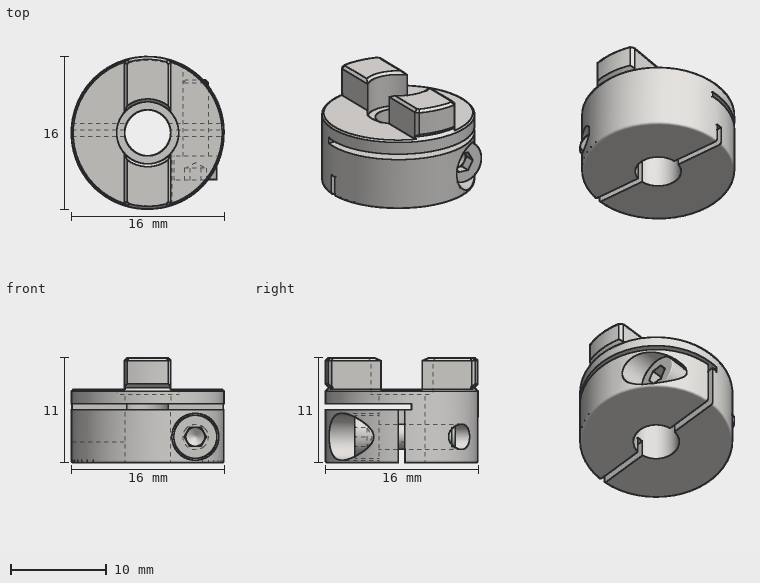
import cadquery as cq
import math

HUB_DIAMETER = 16.0
HUB_RADIUS = HUB_DIAMETER / 2
TOTAL_HEIGHT = 11.0
HUB_HEIGHT = 7.7
BASE_FILLET = 0.25
BORE_DIAMETER = 4.8
RECESS_DIAMETER = 6.5
RECESS_DEPTH = 0.5

LUG_WIDTH = 4.88
LUG_CHAMFER = 0.3

GROOVE_DEPTH = 0.38
GROOVE_HEIGHT = 7.89

JAW_SLOT_BOTTOM = 5.57
JAW_SLOT_HEIGHT = 0.6
JAW_SLOT_END_Y = 1.02
SLIT_WIDTH = 0.69
HINGE_NOTCH_HEIGHT = 2.2

SCREW_X = 5.0
SCREW_Z = 2.74
HEAD_FRONT_Y = -4.91
HEAD_LENGTH = 2.5
SEAT_Y = HEAD_FRONT_Y + HEAD_LENGTH
HEAD_DIAMETER = 4.51
HEAD_FILLET = 0.1
COUNTERBORE_DIAMETER = 4.91
SHANK_DIAMETER = 2.65
SHANK_LENGTH = 8.0
SHANK_CHAMFER = 0.32
SOCKET_ACROSS_FLATS = 2.0
SOCKET_DEPTH = 1.25
SOCKET_TIP_ANGLE = 120.0


def cylinder_z(diameter, bottom, top):
    """Cylinder on the hub axis between two heights."""
    return cq.Workplane("XY").workplane(offset=bottom).circle(diameter / 2).extrude(top - bottom)


def screw_plane(y):
    """Workplane centred on the screw axis at the given Y, facing +Y."""
    return cq.Workplane(cq.Plane(origin=(SCREW_X, y, SCREW_Z), xDir=(1, 0, 0), normal=(0, 1, 0)))


def make_lug(side):
    """Lug on the +Y (side = 1) or -Y (side = -1) half of the hub."""
    foot = HUB_HEIGHT - RECESS_DEPTH
    height = TOTAL_HEIGHT - foot
    block = (
        cq.Workplane("XY", origin=(0, side * HUB_RADIUS / 2, foot))
        .box(LUG_WIDTH, HUB_RADIUS, height, centered=(True, True, False))
    )
    lug = block.intersect(cylinder_z(HUB_DIAMETER, foot, TOTAL_HEIGHT))
    lug = lug.cut(cylinder_z(RECESS_DIAMETER, foot, TOTAL_HEIGHT))
    outer_end = ">Y" if side > 0 else "<Y"
    lug = lug.edges("|Z").edges(outer_end).chamfer(LUG_CHAMFER)
    return lug.faces(">Z").edges().chamfer(LUG_CHAMFER)


def make_rim_groove():
    """Ring of triangular section that cuts the V-groove."""
    return (
        cq.Workplane("XZ")
        .moveTo(HUB_RADIUS - GROOVE_DEPTH, GROOVE_HEIGHT)
        .lineTo(HUB_RADIUS + GROOVE_DEPTH, GROOVE_HEIGHT + 2 * GROOVE_DEPTH)
        .lineTo(HUB_RADIUS + GROOVE_DEPTH, GROOVE_HEIGHT - 2 * GROOVE_DEPTH)
        .close()
        .revolve(360, (0, 0, 0), (0, 1, 0))
    )


def make_jaw_cuts():
    """Horizontal jaw slot, clamping slit on +X and shallow hinge notch on -X."""
    slot_depth = HUB_RADIUS + JAW_SLOT_END_Y
    jaw_slot = (
        cq.Workplane("XY", origin=(0, JAW_SLOT_END_Y - slot_depth / 2, JAW_SLOT_BOTTOM))
        .box(HUB_DIAMETER, slot_depth, JAW_SLOT_HEIGHT, centered=(True, True, False))
    )
    clamping_slit = (
        cq.Workplane("XY", origin=(HUB_RADIUS / 2, 0, 0))
        .box(HUB_RADIUS, SLIT_WIDTH, JAW_SLOT_BOTTOM, centered=(True, True, False))
    )
    hinge_notch = (
        cq.Workplane("XY", origin=(-HUB_RADIUS / 2, 0, 0))
        .box(HUB_RADIUS, SLIT_WIDTH, HINGE_NOTCH_HEIGHT, centered=(True, True, False))
    )
    return [jaw_slot, clamping_slit, hinge_notch]


def make_screw_hole():
    """Counterbore for the head and a hole for the shank, open at both ends."""
    counterbore = (
        screw_plane(-HUB_RADIUS).circle(COUNTERBORE_DIAMETER / 2).extrude(HUB_RADIUS + SEAT_Y)
    )
    shank_hole = screw_plane(SEAT_Y).circle(SHANK_DIAMETER / 2).extrude(HUB_RADIUS - SEAT_Y)
    return counterbore.union(shank_hole)


def make_hub():
    hub = cylinder_z(HUB_DIAMETER, 0, HUB_HEIGHT).faces("<Z").edges().fillet(BASE_FILLET)
    hub = hub.cut(cylinder_z(RECESS_DIAMETER, HUB_HEIGHT - RECESS_DEPTH, HUB_HEIGHT))
    for side in (-1, 1):
        hub = hub.union(make_lug(side))
    hub = hub.cut(make_rim_groove())
    hub = hub.cut(cylinder_z(BORE_DIAMETER, 0, HUB_HEIGHT))
    for cut in make_jaw_cuts():
        hub = hub.cut(cut)
    return hub.cut(make_screw_hole())


def make_socket():
    """Hexagon socket, corners toward +X and -X, ending in a drill-point cone."""
    across_corners = SOCKET_ACROSS_FLATS / math.cos(math.radians(30))
    hexagon = screw_plane(HEAD_FRONT_Y).polygon(6, across_corners).extrude(SOCKET_DEPTH)
    cone_radius = SOCKET_ACROSS_FLATS / 2
    cone_length = cone_radius / math.tan(math.radians(SOCKET_TIP_ANGLE / 2))
    cone = cq.Solid.makeCone(
        cone_radius,
        0,
        cone_length,
        cq.Vector(SCREW_X, HEAD_FRONT_Y + SOCKET_DEPTH, SCREW_Z),
        cq.Vector(0, 1, 0),
    )
    return hexagon.union(cq.Workplane(cone))


def make_screw():
    head = screw_plane(HEAD_FRONT_Y).circle(HEAD_DIAMETER / 2).extrude(HEAD_LENGTH)
    head = head.faces("<Y").edges().fillet(HEAD_FILLET)
    shank = screw_plane(SEAT_Y).circle(SHANK_DIAMETER / 2).extrude(SHANK_LENGTH)
    shank = shank.faces(">Y").edges().chamfer(SHANK_CHAMFER)
    return head.union(shank).cut(make_socket())


hub = make_hub()
clamping_screw = make_screw()
result = cq.Compound.makeCompound([hub.solids().val(), clamping_screw.solids().val()])